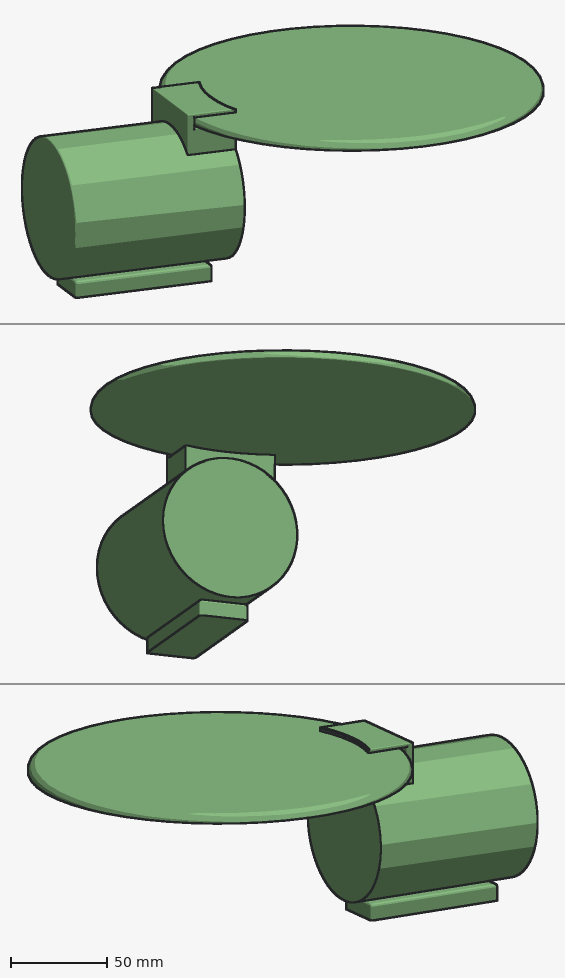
import cadquery as cq
import math

overall_length = 270.0
edge_round = 0.5

barrel_diameter = 75.0
barrel_length = 95.0
barrel_rim_round = 1.0
barrel_radius = barrel_diameter / 2

disc_diameter = 200.0
disc_thickness = 5.5
disc_bottom_round = 0.8
disc_top_round = disc_thickness - disc_bottom_round
disc_radius = disc_diameter / 2
disc_center_y = overall_length - barrel_length - disc_radius

clip_width = 50.0
clip_depth = 27.0
clip_top_z = 50.0
clip_lip = 2.0
slot_height = 6.0
slot_end_clearance = 1.0
slot_radius = disc_radius + slot_end_clearance
slot_top_z = clip_top_z - clip_lip
slot_bottom_z = slot_top_z - slot_height
disc_bottom_z = slot_top_z - disc_thickness

foot_width = 27.0
foot_length = 76.7
foot_height = 9.0
foot_setback = 10.0
foot_corner_round = 1.5
foot_top_round = 1.6


def make_disc():
    """Round plate whose rim is a large upper round that runs into a small lower one."""
    rim_z = disc_bottom_round
    diagonal = math.sqrt(0.5)
    lower_center_x = disc_radius - disc_bottom_round
    upper_center_x = disc_radius - disc_top_round
    half_section = (
        cq.Workplane("XZ")
        .lineTo(lower_center_x, 0)
        .threePointArc(
            (lower_center_x + disc_bottom_round * diagonal, rim_z - disc_bottom_round * diagonal),
            (disc_radius, rim_z),
        )
        .threePointArc(
            (upper_center_x + disc_top_round * diagonal, rim_z + disc_top_round * diagonal),
            (upper_center_x, disc_thickness),
        )
        .lineTo(0, disc_thickness)
        .close()
    )
    plate = half_section.revolve(360, (0, 0), (0, 1))
    return plate.translate((0, disc_center_y, disc_bottom_z))


def make_barrel():
    """Solid cylinder with a rounded front rim."""
    barrel = cq.Workplane("XZ").circle(barrel_radius).extrude(barrel_length)
    return barrel.faces("<Y").edges().fillet(barrel_rim_round)


def make_clip():
    """Slotted block with a concave back concentric with the disc and a saddle for the barrel."""
    block = cq.Workplane("XY").box(clip_width, clip_depth, clip_top_z, centered=(True, False, False))
    block = block.translate((0, -clip_depth, 0))

    back_radius = math.hypot(disc_center_y, clip_width / 2)
    back = cq.Workplane("XY").center(0, disc_center_y).circle(back_radius).extrude(clip_top_z)
    slot_plane = cq.Workplane("XY", origin=(0, disc_center_y, slot_bottom_z))
    slot = slot_plane.circle(slot_radius).extrude(slot_height)
    block = block.cut(back).cut(slot)

    block = block.faces("|X or <Y or >Z").edges("(not <Z) and (not >Y)").fillet(edge_round)

    saddle = cq.Workplane("XZ").circle(barrel_radius).extrude(barrel_length)
    return block.cut(saddle)


def make_foot():
    """Rounded block under the barrel, touching it along its lowest line."""
    foot = cq.Workplane("XY").box(foot_width, foot_length, foot_height, centered=(True, False, False))
    foot = foot.edges("|Z").fillet(foot_corner_round)
    foot = foot.faces(">Z").edges().fillet(foot_top_round)
    return foot.translate((0, foot_setback - barrel_length, -barrel_radius - foot_height))


disc = make_disc()
barrel = make_barrel()
clip = make_clip()
foot = make_foot()

result = cq.Compound.makeCompound([disc.val(), barrel.val(), clip.val(), foot.val()])